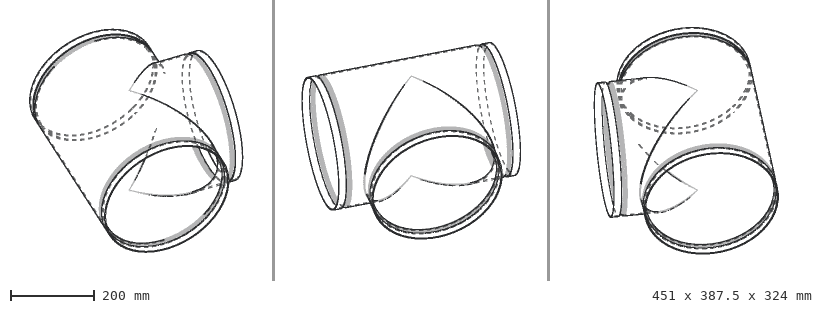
import cadquery as cq
import math

run_length = 451.0
branch_reach = 225.5
pipe_diameter = 324.0
wall = 2.95

groove_floor_diameter = 315.8
lip_width = 18.5
floor_width = 4.0
floor_bend_radius = 2.0
mouth_bend_radius = 3.0

outer_crease_radius = 2.05
inner_crease_radius = outer_crease_radius + wall

pipe_radius = pipe_diameter / 2
groove_depth = (pipe_diameter - groove_floor_diameter) / 2

GROOVE_ANGLE = 45.0
TANGENT_FACTOR = math.tan(math.radians(GROOVE_ANGLE / 2))
SLOPE_COMPONENT = math.cos(math.radians(GROOVE_ANGLE))


def grooved_arm(radius, length):
    """Solid cylinder from the origin along +Y, pinched by a groove near its far end."""
    floor_radius = radius - groove_depth
    mouth_outer = length - lip_width
    floor_outer = mouth_outer - groove_depth
    floor_inner = floor_outer - floor_width
    mouth_inner = floor_inner - groove_depth
    mouth_tangent = mouth_bend_radius * TANGENT_FACTOR
    floor_tangent = floor_bend_radius * TANGENT_FACTOR
    mouth_step = mouth_tangent * SLOPE_COMPONENT
    floor_step = floor_tangent * SLOPE_COMPONENT
    return (
        cq.Workplane("XY")
        .lineTo(radius, 0)
        .lineTo(radius, mouth_inner - mouth_tangent)
        .radiusArc((radius - mouth_step, mouth_inner + mouth_step), -mouth_bend_radius)
        .lineTo(floor_radius + floor_step, floor_inner - floor_step)
        .radiusArc((floor_radius, floor_inner + floor_tangent), floor_bend_radius)
        .lineTo(floor_radius, floor_outer - floor_tangent)
        .radiusArc((floor_radius + floor_step, floor_outer + floor_step), floor_bend_radius)
        .lineTo(radius, mouth_outer)
        .lineTo(radius, length)
        .lineTo(0, length)
        .close()
        .revolve(360, (0, 0, 0), (0, 1, 0))
    )


def tee(radius, crease_radius):
    """Solid tee made of three grooved arms, rounded where the branch meets the run."""
    run_arm = grooved_arm(radius, run_length / 2)
    left = run_arm.rotate((0, 0, 0), (0, 0, 1), 90)
    right = run_arm.rotate((0, 0, 0), (0, 0, 1), -90)
    branch = grooved_arm(radius, branch_reach)
    body = left.union(right).union(branch)
    return body.edges("%ELLIPSE").fillet(crease_radius)


result = tee(pipe_radius, outer_crease_radius).cut(tee(pipe_radius - wall, inner_crease_radius))